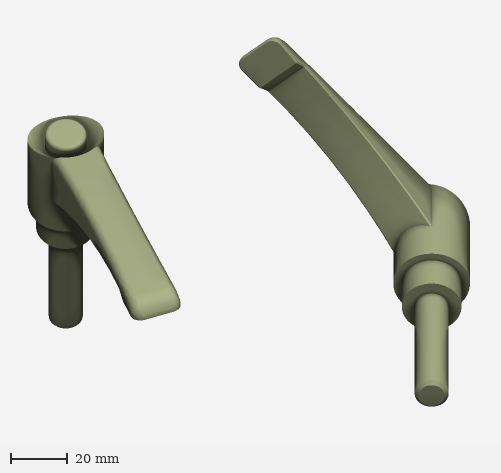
import cadquery as cq

stud_diameter = 12.0
stud_chamfer = 1.3
collar_diameter = 21.0
collar_bottom = 50.0
hub_diameter = 27.0
hub_radius = hub_diameter / 2
hub_bottom = 63.1

rim_arc_reach = 16.6
rim_arc_low = 92.3
rim_middle = 99.1
rim_arc_high = 103.8

button_diameter = 14.6
button_top = 100.6
button_fillet = 1.3
dish_floor = 94.1
dish_floor_slope = 0.15

total_height = 110.9
lever_tip_x = 107.9 - hub_radius
lever_half_width = 9.4
waist_half_width = 8.2
tip_corner_radius = 3.9
crest_x = 86.2
lever_root_top = 100.7
lever_root_bottom = 70.3
top_arc_middle = (48.8, 108.7)
bottom_arc_middle = (35.5, 93.2)
finger_stop_start = (77.3, 105.5)
finger_stop_end = (81.6, 103.4)
tip_top = 106.7
tip_bottom = 105.8
lever_edge_fillet = 2.9
lower_edge_chamfer = 0.4
upper_edge_level = 106.5
lower_edge_level = 105.8


def cylinder(diameter, bottom, top):
    return cq.Workplane("XY").workplane(offset=bottom).circle(diameter / 2).extrude(top - bottom)


def trim_below(solid, side_outline):
    """Keep the part of a solid inside an outline in the XZ plane, swept well past the hub along Y."""
    return solid.intersect(side_outline.extrude(hub_diameter, both=True))


def make_rimmed_hub():
    """Hub whose top slopes up towards the lever along a shallow arc."""
    side_outline = (
        cq.Workplane("XZ")
        .moveTo(-rim_arc_reach, hub_bottom)
        .lineTo(rim_arc_reach, hub_bottom)
        .lineTo(rim_arc_reach, rim_arc_high)
        .threePointArc((0, rim_middle), (-rim_arc_reach, rim_arc_low))
        .close()
    )
    return trim_below(cylinder(hub_diameter, hub_bottom, total_height), side_outline)


def make_dish_floor():
    """Tilted flat floor of the dish, bounded by the button's wall."""
    side_outline = (
        cq.Workplane("XZ")
        .moveTo(-hub_diameter, hub_bottom)
        .lineTo(hub_diameter, hub_bottom)
        .lineTo(hub_diameter, dish_floor + dish_floor_slope * hub_diameter)
        .lineTo(-hub_diameter, dish_floor - dish_floor_slope * hub_diameter)
        .close()
    )
    column = cylinder(button_diameter, hub_bottom, total_height)
    return trim_below(column, side_outline).faces(">Z").val()


def make_hub():
    """Hub hollowed by a funnel ruled from its curved rim to the tilted floor."""
    hub = make_rimmed_hub()
    rim_face = hub.faces(">Z").val()
    floor = make_dish_floor()
    rim_edge = rim_face.outerWire().Edges()[0]
    floor_edge = floor.outerWire().Edges()[0]
    funnel = cq.Face.makeRuledSurface(rim_edge, floor_edge)
    dish = cq.Solid.makeSolid(cq.Shell.makeShell([rim_face, funnel, floor]))
    return hub.cut(cq.Workplane(dish))


def make_lever():
    """Curved side profile crossed with a waisted plan outline, then rounded."""
    side = (
        cq.Workplane("XZ")
        .moveTo(0, lever_root_top)
        .threePointArc(top_arc_middle, (crest_x, total_height))
        .tangentArcPoint((lever_tip_x, tip_top), relative=False)
        .lineTo(lever_tip_x, tip_bottom)
        .lineTo(*finger_stop_end)
        .lineTo(*finger_stop_start)
        .threePointArc(bottom_arc_middle, (0, lever_root_bottom))
        .close()
        .extrude(hub_radius, both=True)
    )
    plan = (
        cq.Workplane("XY")
        .moveTo(0, -lever_half_width)
        .threePointArc((lever_tip_x / 2, -waist_half_width), (lever_tip_x, -lever_half_width))
        .lineTo(lever_tip_x, lever_half_width)
        .threePointArc((lever_tip_x / 2, waist_half_width), (0, lever_half_width))
        .close()
        .extrude(total_height)
        .edges("|Z and >X")
        .fillet(tip_corner_radius)
    )
    lever = side.intersect(plan)
    side_edges = [edge for edge in lever.edges().vals() if edge.geomType() != "LINE"]
    upper_edges = [edge for edge in side_edges if edge.Center().z > upper_edge_level]
    lower_edges = [edge for edge in side_edges if edge.Center().z < lower_edge_level]
    lever = lever.newObject(lower_edges).chamfer(lower_edge_chamfer)
    return lever.newObject(upper_edges).fillet(lever_edge_fillet)


def make_stud():
    """Plain stud, collar and the rounded button standing in the dish."""
    stud = cylinder(stud_diameter, 0, collar_bottom).faces("<Z").chamfer(stud_chamfer)
    collar = cylinder(collar_diameter, collar_bottom, hub_bottom)
    button = cylinder(button_diameter, hub_bottom, button_top).faces(">Z").edges().fillet(button_fillet)
    return stud.union(collar).union(button)


hub_space = cylinder(hub_diameter, hub_bottom, total_height)
result = make_hub().union(make_stud()).union(make_lever().cut(hub_space))